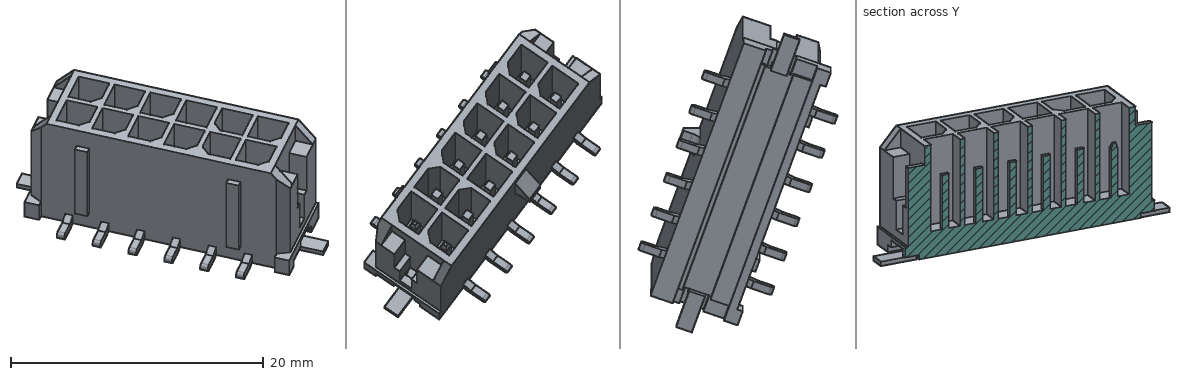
import cadquery as cq


TOTAL_LENGTH = 25.65
TOTAL_WIDTH = 11.2
TOTAL_HEIGHT = 9.95

COLUMNS = 6
PITCH = 3.0
ROW_Y = PITCH / 2
TERMINAL_WIDTH = 0.65

HOUSING_X = 10.85
HOUSING_Y = 3.44
HOUSING_BOTTOM = 0.08
SHOULDER_Z = 8.34
END_WALL_X = 9.4
CORNER_X = 9.85
CORNER_DEPTH = 0.51
BEVEL_RIB_BACK_Y = 2.67
BEVEL_RIB_FRONT_Y = -2.39

SLOT_WIDTH = 2.2
SLOT_BOTTOM = 4.8
LOWER_SLOT_WIDTH = 1.15
LOWER_SLOT_BOTTOM = 2.33
WELL_BOTTOM = 2.05
WELL_STEP_X = 9.82
WELL_OUTER_X = 10.15
WELL_WIDTH = 1.03

FOOT_X = 11.08
FOOT_TOP = 1.62
FRONT_Y = -3.9
RECESS_FRONT_Y = -2.75
RECESS_BACK_Y = 1.56
FOOT_RECESS_TOP = 0.7
UNDERSIDE_Z = 0.3
CHANNEL_WIDTH = 2.35
NAIL_POCKET_WIDTH = 2.03
NAIL_POCKET_TOP = 1.3

CAVITY_SIZE = 2.56
CAVITY_CHAMFER = 0.7
CAVITY_FLOOR = 2.56
PIN_TOP = 7.18
PIN_TIP_SIZE = 0.25
PIN_TIP_LENGTH = 0.51

TAIL_THICKNESS = 0.62
TAIL_BEND_TOP_Y = 4.2
TAIL_BEND_BOTTOM_Y = 3.87
TAIL_ROOT_Y = 3.08
TAIL_SLOPE = 0.4

NAIL_WIDTH = 1.33
NAIL_THICKNESS = 0.38
NAIL_BEND_RADIUS = 0.1
NAIL_LEG_X = 9.67

RIB_X = 6.34
RIB_WIDTH = 1.05
RIB_BOTTOM = 1.6
LATCH_WIDTH = 1.5
LATCH_Y = 4.85
LATCH_TOP = 9.4
LATCH_NOSE_TOP = 7.77
LATCH_NOSE_BOTTOM = 7.03
LATCH_FILLET = 0.67

OVERLAP = 0.25


def block(x_range, y_range, z_range):
    """Axis-aligned box between the given limits."""
    (x0, x1), (y0, y1), (z0, z1) = x_range, y_range, z_range
    return cq.Workplane("XY").box(x1 - x0, y1 - y0, z1 - z0, centered=False).translate((x0, y0, z0))


def centred(width):
    """Limits of a span centred on zero."""
    return (-width / 2, width / 2)


def both_ends(shape):
    """A shape together with its mirror image at the other X end."""
    return shape.union(shape.mirror("YZ"))


def housing_blank():
    front_outline = [
        (-HOUSING_X, HOUSING_BOTTOM),
        (HOUSING_X, HOUSING_BOTTOM),
        (HOUSING_X, SHOULDER_Z),
        (END_WALL_X, TOTAL_HEIGHT),
        (-END_WALL_X, TOTAL_HEIGHT),
        (-HOUSING_X, SHOULDER_Z),
    ]
    blank = cq.Workplane("XZ").polyline(front_outline).close().extrude(HOUSING_Y, both=True)
    corner = (
        cq.Workplane("XY")
        .polyline([
            (CORNER_X, -HOUSING_Y),
            (HOUSING_X, -HOUSING_Y),
            (HOUSING_X, -HOUSING_Y + CORNER_DEPTH),
        ])
        .close()
        .extrude(TOTAL_HEIGHT)
    )
    return blank.cut(both_ends(corner))


def end_feet():
    return both_ends(block((CORNER_X, FOOT_X), (FRONT_Y, HOUSING_Y), (HOUSING_BOTTOM, FOOT_TOP)))


def end_recesses():
    """Open top between the bevelled ribs, then the stepped slot and the nail well below it."""
    outward = (END_WALL_X, FOOT_X)
    recess = block(outward, (BEVEL_RIB_FRONT_Y, BEVEL_RIB_BACK_Y), (SHOULDER_Z, TOTAL_HEIGHT))
    slot = block(outward, centred(SLOT_WIDTH), (SLOT_BOTTOM, SHOULDER_Z))
    lower_slot = block(outward, centred(LOWER_SLOT_WIDTH), (LOWER_SLOT_BOTTOM, SLOT_BOTTOM))
    well_z = (WELL_BOTTOM, LOWER_SLOT_BOTTOM)
    inner_well = block((END_WALL_X, WELL_STEP_X), centred(LOWER_SLOT_WIDTH), well_z)
    outer_well = block((END_WALL_X, WELL_OUTER_X), centred(WELL_WIDTH), well_z)
    return both_ends(recess.union(slot).union(lower_slot).union(inner_well).union(outer_well))


def underside_recesses():
    recess_y = (RECESS_FRONT_Y, RECESS_BACK_Y)
    full_length = (-FOOT_X, FOOT_X)
    shallow = block(full_length, recess_y, (0, UNDERSIDE_Z))
    channel = block(full_length, centred(CHANNEL_WIDTH), (0, FOOT_RECESS_TOP))
    foot_recess = block((CORNER_X, FOOT_X), recess_y, (0, FOOT_RECESS_TOP))
    nail_pocket = block((NAIL_LEG_X, FOOT_X), centred(NAIL_POCKET_WIDTH), (0, NAIL_POCKET_TOP))
    return shallow.union(channel).union(both_ends(foot_recess.union(nail_pocket)))


def cavity(keyed_corner):
    """Contact cavity with one front corner bevelled, or none for a plain square."""
    depth = TOTAL_HEIGHT - CAVITY_FLOOR
    shape = cq.Workplane("XY", origin=(0, 0, CAVITY_FLOOR)).rect(CAVITY_SIZE, CAVITY_SIZE).extrude(depth)
    if keyed_corner != "none":
        side = ">X" if keyed_corner == "right" else "<X"
        shape = shape.faces("<Y").edges(side).chamfer(CAVITY_CHAMFER)
    return shape


def pin(tapered):
    """Square contact pin standing on the cavity floor."""
    root_z = CAVITY_FLOOR - OVERLAP
    tip_length = PIN_TIP_LENGTH if tapered else 0
    shank = (
        cq.Workplane("XY", origin=(0, 0, root_z))
        .rect(TERMINAL_WIDTH, TERMINAL_WIDTH)
        .extrude(PIN_TOP - tip_length - root_z)
    )
    if not tapered:
        return shank
    return (
        shank.faces(">Z").workplane()
        .rect(TERMINAL_WIDTH, TERMINAL_WIDTH)
        .workplane(offset=PIN_TIP_LENGTH)
        .rect(PIN_TIP_SIZE, PIN_TIP_SIZE)
        .loft(combine=True)
    )


def back_tail():
    """Gull-wing solder tail with a full-round end."""
    radius = TAIL_THICKNESS / 2
    tip_y = TOTAL_WIDTH / 2
    root_bottom_z = (TAIL_BEND_BOTTOM_Y - TAIL_ROOT_Y) * TAIL_SLOPE
    root_top_z = TAIL_THICKNESS + (TAIL_BEND_TOP_Y - TAIL_ROOT_Y) * TAIL_SLOPE
    return (
        cq.Workplane("YZ")
        .moveTo(TAIL_ROOT_Y, root_bottom_z)
        .lineTo(TAIL_BEND_BOTTOM_Y, 0)
        .lineTo(tip_y - radius, 0)
        .threePointArc((tip_y, radius), (tip_y - radius, TAIL_THICKNESS))
        .lineTo(TAIL_BEND_TOP_Y, TAIL_THICKNESS)
        .lineTo(TAIL_ROOT_Y, root_top_z)
        .close()
        .extrude(TERMINAL_WIDTH / 2, both=True)
    )


def solder_nails():
    """L-shaped hold-down at each end: a flat tab and an upright leg fixed in the housing."""
    leg_outer_x = NAIL_LEG_X + NAIL_THICKNESS
    leg_top = NAIL_POCKET_TOP + OVERLAP
    tab_end = TOTAL_LENGTH / 2
    nail = (
        cq.Workplane("XZ")
        .moveTo(NAIL_LEG_X, 0)
        .lineTo(tab_end, 0)
        .lineTo(tab_end, NAIL_THICKNESS)
        .lineTo(leg_outer_x + NAIL_BEND_RADIUS, NAIL_THICKNESS)
        .radiusArc((leg_outer_x, NAIL_THICKNESS + NAIL_BEND_RADIUS), NAIL_BEND_RADIUS)
        .lineTo(leg_outer_x, leg_top)
        .lineTo(NAIL_LEG_X, leg_top)
        .close()
        .extrude(NAIL_WIDTH / 2, both=True)
    )
    return both_ends(nail)


def guide_ribs():
    rib_x = (RIB_X - RIB_WIDTH / 2, RIB_X + RIB_WIDTH / 2)
    return both_ends(block(rib_x, (FRONT_Y, -HOUSING_Y + OVERLAP), (RIB_BOTTOM, SHOULDER_Z)))


def latch():
    """Ramped catch on the back wall with a hollow fillet under its nose."""
    outline = (
        cq.Workplane("YZ")
        .moveTo(HOUSING_Y - OVERLAP, LATCH_TOP)
        .lineTo(HOUSING_Y, LATCH_TOP)
        .lineTo(LATCH_Y, LATCH_NOSE_TOP)
        .lineTo(LATCH_Y, LATCH_NOSE_BOTTOM)
        .lineTo(HOUSING_Y + LATCH_FILLET, LATCH_NOSE_BOTTOM)
        .radiusArc((HOUSING_Y, LATCH_NOSE_BOTTOM - LATCH_FILLET), -LATCH_FILLET)
        .lineTo(HOUSING_Y - OVERLAP, LATCH_NOSE_BOTTOM - LATCH_FILLET)
        .close()
    )
    return outline.extrude(LATCH_WIDTH / 2, both=True)


BACK_ROW_KEYS = ["right", "right", "right", "none", "left", "right"]
FRONT_ROW_KEYS = ["right", "right", "right", "right", "left", "right"]

result = housing_blank().union(end_feet())
result = result.cut(end_recesses()).cut(underside_recesses())
result = result.union(solder_nails()).union(guide_ribs()).union(latch())

for column in range(COLUMNS):
    x = (column - (COLUMNS - 1) / 2) * PITCH
    is_last_column = column == COLUMNS - 1
    for y, keys in ((ROW_Y, BACK_ROW_KEYS), (-ROW_Y, FRONT_ROW_KEYS)):
        result = result.cut(cavity(keys[column]).translate((x, y, 0)))
        result = result.union(pin(is_last_column).translate((x, y, 0)))
    tail = back_tail().translate((x, 0, 0))
    result = result.union(tail).union(tail.mirror("XZ"))